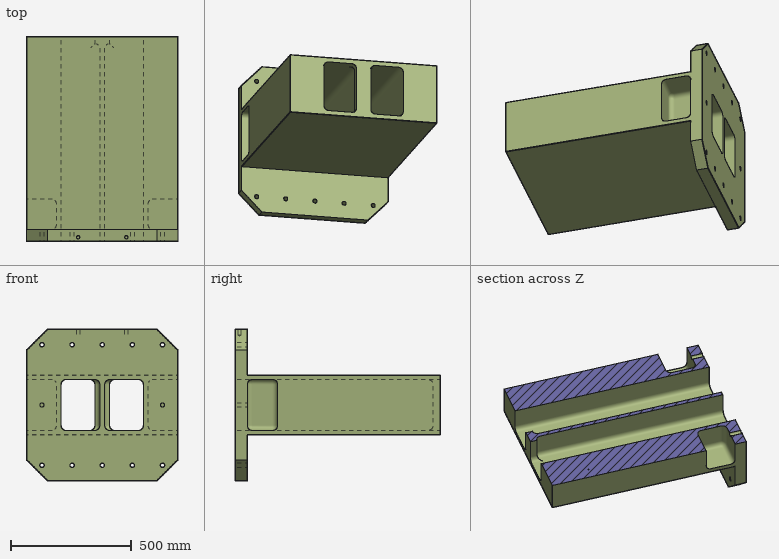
import cadquery as cq
import math

length = 850.0
width = 630.0
plate_thickness = 50.0
plate_corner_cut = 87.5
body_height = 250.0
edge_chamfer = 2.0

pocket_inner = 10.0
pocket_outer = 170.0
pocket_height = 211.0
pocket_radius = 20.0
rear_wall = 30.0

window_length = 126.0
window_depth = 125.0

hole_diameter = 17.0
hole_pitch = 125.0
hole_reach = 2 * hole_pitch

lifting_hole_diameter = 14.0
lifting_hole_spacing = 200.0
lifting_hole_depth = 25.0
lifting_hole_setback = 18.0
drill_point_angle = 118.0


def make_plate():
    """Square plate with cut corners and a chamfered front rim; its front face lies at Y = 0."""
    plate = cq.Workplane("XY").box(width, plate_thickness, width).edges("|Y").chamfer(plate_corner_cut)
    plate = plate.faces("<Y").edges().chamfer(edge_chamfer)
    return plate.translate((0, plate_thickness / 2, 0))


def make_body():
    """Long block behind the plate, chamfered along its length and around its rear face."""
    body_length = length - plate_thickness
    body = cq.Workplane("XY").box(width, body_length, body_height)
    body = body.edges("|Y or >Y").chamfer(edge_chamfer)
    return body.translate((0, plate_thickness + body_length / 2, 0))


def rounded_tunnel(x_start, x_end, y_start, y_end):
    """Block along Y with rounded long edges, as tall as the pockets."""
    size_x = x_end - x_start
    size_y = y_end - y_start
    block = cq.Workplane("XY").box(size_x, size_y, pocket_height).edges("|Y").fillet(pocket_radius)
    return block.translate((x_start + size_x / 2, y_start + size_y / 2, 0))


def make_right_pocket():
    """Front pocket with a filleted floor, and the rear opening that clears the floor's inner fillet."""
    floor_y = length - rear_wall
    pocket = rounded_tunnel(pocket_inner, pocket_outer, 0, floor_y)
    pocket = pocket.faces(">Y").edges().fillet(pocket_radius)
    opening_inner = pocket_inner + pocket_radius
    opening_start = floor_y - pocket_radius
    opening = rounded_tunnel(opening_inner, pocket_outer, opening_start, length)
    return pocket.union(opening)


def make_right_window():
    """Side pocket with rounded corners and a filleted floor."""
    window = cq.Workplane("XY").box(window_depth, window_length, pocket_height)
    window = window.edges("|X").fillet(pocket_radius)
    window = window.faces("<X").edges().fillet(pocket_radius)
    center_x = width / 2 - window_depth / 2
    center_y = plate_thickness + window_length / 2
    return window.translate((center_x, center_y, 0))


def make_mounting_holes():
    """Rows of five holes above and below the body, and one at each side that ends on the body."""
    points = [(column * hole_pitch, side * hole_reach) for column in range(-2, 3) for side in (-1, 1)]
    points += [(-hole_reach, 0), (hole_reach, 0)]
    return cq.Workplane("XZ").pushPoints(points).circle(hole_diameter / 2).extrude(-plate_thickness)


def make_lifting_holes():
    """Two drilled holes with conical bottoms, going down from the top edge of the plate."""
    radius = lifting_hole_diameter / 2
    point_height = radius / math.tan(math.radians(drill_point_angle / 2))
    top_z = width / 2
    shoulder_z = top_z - lifting_hole_depth
    tip_z = shoulder_z - point_height
    half_profile = [(0, top_z), (radius, top_z), (radius, shoulder_z), (0, tip_z)]
    hole = cq.Workplane("XZ").polyline(half_profile).close().revolve(360, (0, 0, 0), (0, 1, 0))
    hole = hole.translate((lifting_hole_spacing / 2, lifting_hole_setback, 0))
    return hole.union(hole.mirror("YZ"))


result = make_plate().union(make_body())
for right_cut in (make_right_pocket(), make_right_window()):
    result = result.cut(right_cut).cut(right_cut.mirror("YZ"))
result = result.cut(make_mounting_holes()).cut(make_lifting_holes())